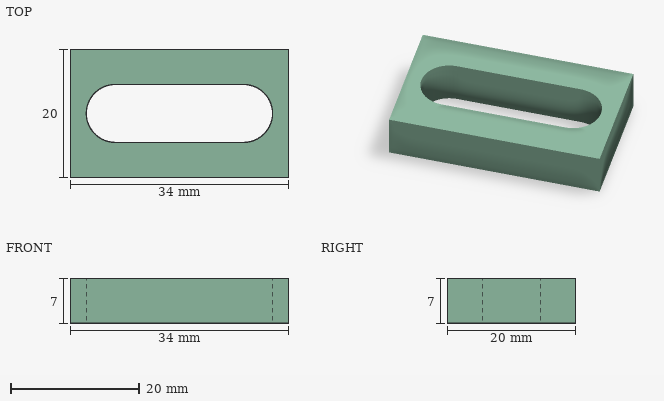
import cadquery as cq

BLOCK_LENGTH = 34.0
BLOCK_WIDTH = 20.0
BLOCK_HEIGHT = 7.0
SLOT_LENGTH = 29.0
SLOT_WIDTH = 9.0


def make_block():
    """Rectangular block centred on the origin."""
    return cq.Workplane("XY").box(BLOCK_LENGTH, BLOCK_WIDTH, BLOCK_HEIGHT)


def cut_slot(body):
    """Cut the central round-ended slot through the full height."""
    return body.faces(">Z").workplane().slot2D(SLOT_LENGTH, SLOT_WIDTH).cutThruAll()


result = cut_slot(make_block())